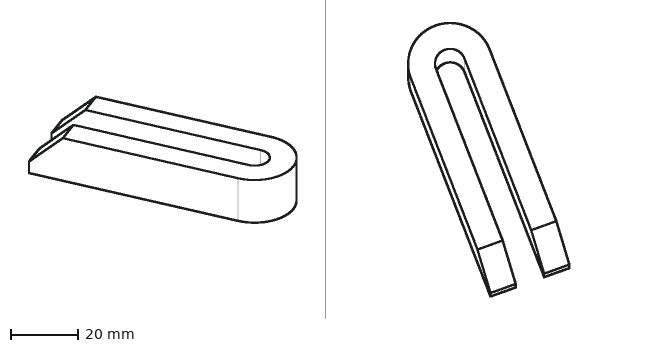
import cadquery as cq

length = 80.0
width = 25.0
thickness = 15.0
slot_width = 9.0
nose_height = 4.0

outer_radius = width / 2
slot_radius = slot_width / 2
leg_length = length - outer_radius
bevel = thickness - nose_height


def rounded_bar(radius):
    """Bar along X with a square end at X = 0 and a half-round end at +X."""
    return (
        cq.Workplane("XY")
        .moveTo(0, -radius)
        .lineTo(leg_length, -radius)
        .threePointArc((leg_length + radius, 0), (leg_length, radius))
        .lineTo(0, radius)
        .close()
        .extrude(thickness)
    )


def nose_bevel():
    """Wedge that slopes the top of both leg tips."""
    return (
        cq.Workplane("XZ")
        .moveTo(0, nose_height)
        .lineTo(bevel, thickness)
        .lineTo(0, thickness)
        .close()
        .extrude(width / 2, both=True)
    )


result = rounded_bar(outer_radius).cut(rounded_bar(slot_radius)).cut(nose_bevel())